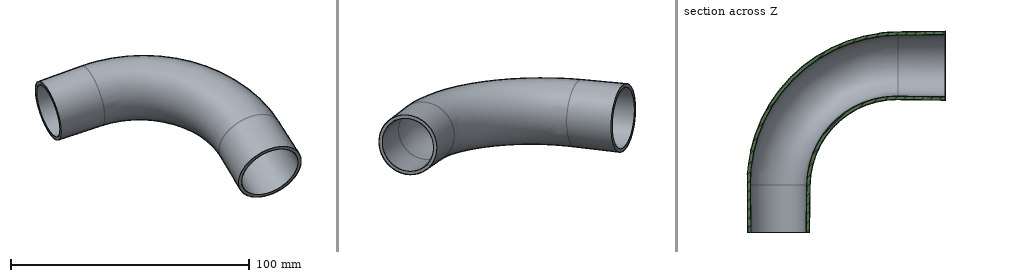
import cadquery as cq

small_end_diameter = 26.0
large_end_diameter = 29.0
wall = 1.5
bend_radius = 50.0
straight_length = 20.0

small_end = (-bend_radius, -straight_length)
bend_start = (-bend_radius, 0)
bend_end = (0, bend_radius)
large_end = (straight_length, bend_radius)


def centreline():
    """Straight leg, quarter-circle bend, straight leg."""
    path = cq.Workplane("XY").moveTo(*small_end).lineTo(*bend_start)
    path = path.tangentArcPoint(bend_end, relative=False)
    return path.lineTo(*large_end)


def tapered_bar(start_diameter, end_diameter):
    """Solid round bar along the centreline, widening evenly from the small end to the large end."""
    start_plane = cq.Plane(origin=(*small_end, 0), xDir=(1, 0, 0), normal=(0, 1, 0))
    end_plane = cq.Plane(origin=(*large_end, 0), xDir=(0, -1, 0), normal=(1, 0, 0))
    sections = (
        cq.Workplane(start_plane)
        .circle(start_diameter / 2)
        .copyWorkplane(cq.Workplane(end_plane))
        .circle(end_diameter / 2)
    )
    return sections.sweep(centreline(), multisection=True)


outside = tapered_bar(small_end_diameter, large_end_diameter)
bore = tapered_bar(small_end_diameter - 2 * wall, large_end_diameter - 2 * wall)
result = outside.cut(bore)